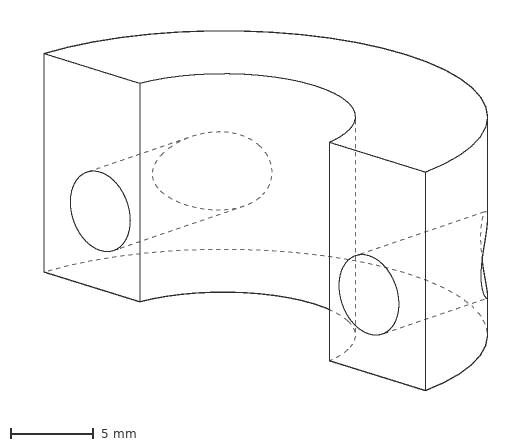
import cadquery as cq
import math

width = 31.95
height = 14.0
flat_offset = 1.0
hole_diameter = 5.0
hole_spacing = 22.5
hole_height = 5.0

outer_radius = math.hypot(width / 2, flat_offset)
inner_radius = outer_radius / 2


def half_ring():
    """Ring about the Z axis, keeping only the part beyond the mating plane."""
    ring = cq.Workplane("XY").circle(outer_radius).circle(inner_radius).extrude(height)
    keep = (
        cq.Workplane("XY")
        .box(2 * outer_radius, outer_radius, height, centered=(True, False, False))
        .translate((0, flat_offset, 0))
    )
    return ring.intersect(keep)


def bolt_holes():
    """Pair of cylinders along Y that pass right through the ring."""
    return (
        cq.Workplane("XZ")
        .pushPoints([(side * hole_spacing / 2, hole_height) for side in (-1, 1)])
        .circle(hole_diameter / 2)
        .extrude(-outer_radius)
    )


result = half_ring().cut(bolt_holes())